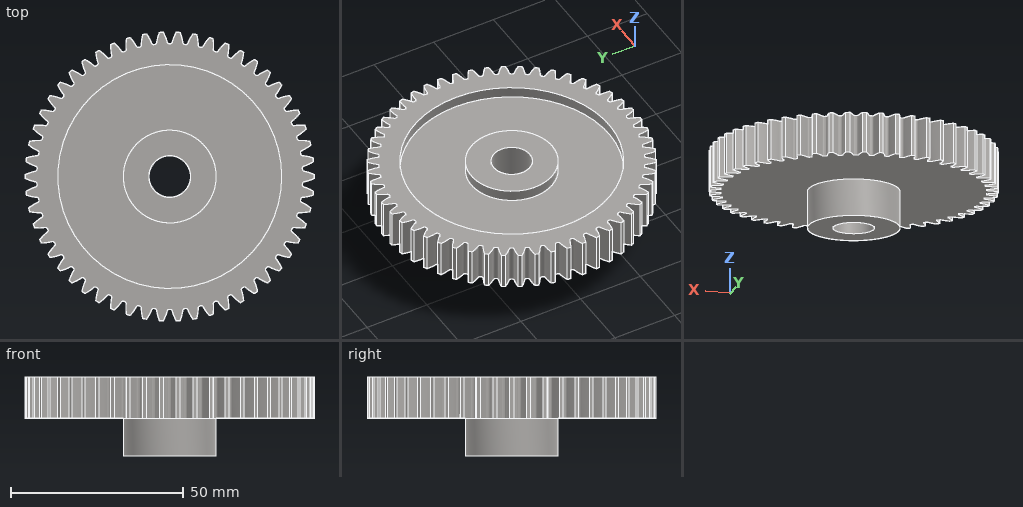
import cadquery as cq
import math

outer_diameter = 84.0
tooth_count = 54
pressure_angle = math.radians(20)
addendum_ratio = 1.0
dedendum_ratio = 1.25
root_fillet = 0.57
flank_points = 5

face_width = 12.0
hub_drop = 11.0
hub_diameter = 27.0
bore_diameter = 12.0
recess_diameter = 65.0
recess_depth = 3.5

module = outer_diameter / (tooth_count + 2 * addendum_ratio)
pitch_radius = module * tooth_count / 2
base_radius = pitch_radius * math.cos(pressure_angle)
tip_radius = outer_diameter / 2
root_radius = pitch_radius - dedendum_ratio * module
pitch_angle = 2 * math.pi / tooth_count


def polar(radius, angle):
    return (radius * math.cos(angle), radius * math.sin(angle))


def involute(angle):
    return math.tan(angle) - angle


def half_tooth_angle(radius):
    """Half of the angle a tooth covers at the given radius."""
    local_pressure_angle = math.acos(base_radius / radius)
    return pitch_angle / 4 + involute(pressure_angle) - involute(local_pressure_angle)


def flank(tooth_angle, side):
    """Involute points from root to tip; side is -1 or +1 around the tooth centre."""
    step = (tip_radius - root_radius) / (flank_points - 1)
    radii = [root_radius + i * step for i in range(flank_points)]
    return [polar(r, tooth_angle + side * half_tooth_angle(r)) for r in radii]


def is_root_edge(edge):
    """True for the upright corners where a flank meets the bottom of a gap."""
    center = edge.Center()
    return math.hypot(center.x, center.y) < pitch_radius


def toothed_disc():
    outline = cq.Workplane("XY").moveTo(*flank(0, -1)[0])
    for tooth in range(tooth_count):
        tooth_angle = tooth * pitch_angle
        rising = flank(tooth_angle, -1)
        falling = flank(tooth_angle, 1)[::-1]
        next_rising = flank(tooth_angle + pitch_angle, -1)
        outline = outline.spline(rising[1:], includeCurrent=True)
        outline = outline.threePointArc(polar(tip_radius, tooth_angle), falling[0])
        outline = outline.spline(falling[1:], includeCurrent=True)
        gap_bottom = polar(root_radius, tooth_angle + pitch_angle / 2)
        outline = outline.threePointArc(gap_bottom, next_rising[0])
    disc = outline.close().extrude(face_width)
    return disc.edges("|Z").filter(is_root_edge).fillet(root_fillet)


def recess():
    """Ring-shaped pocket in the top face, between rim and hub."""
    recess_floor = cq.Workplane("XY").workplane(offset=face_width - recess_depth)
    return recess_floor.circle(recess_diameter / 2).circle(hub_diameter / 2).extrude(recess_depth)


def full_height_cylinder(diameter):
    """Cylinder on the gear axis from the lower end of the hub to the top face."""
    hub_end = cq.Workplane("XY").workplane(offset=-hub_drop)
    return hub_end.circle(diameter / 2).extrude(hub_drop + face_width)


hub = full_height_cylinder(hub_diameter)
bore = full_height_cylinder(bore_diameter)

result = toothed_disc().cut(recess()).union(hub).cut(bore)